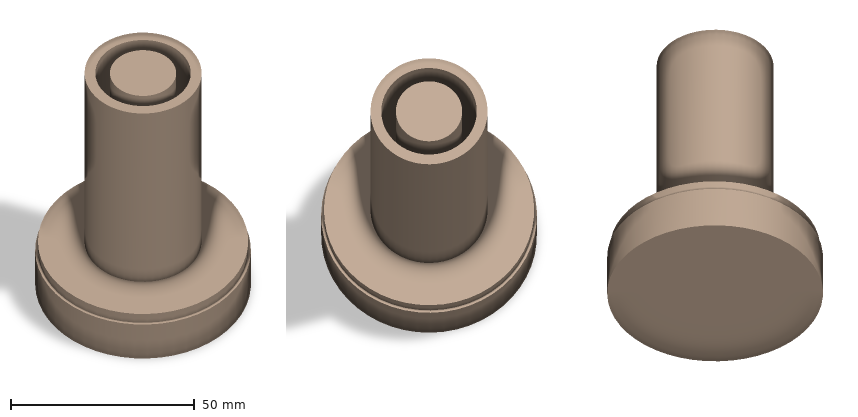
import cadquery as cq

total_height = 79.4

base_diameter = 58.7
base_height = 12.8
step_diameter = 57.2
step_height = 3.25
flange_top = base_height + step_height

column_diameter = 31.8
bore_diameter = 26.0
pin_diameter = 18.0
column_height = total_height - flange_top
groove_depth = column_height


def make_base():
    """Wide disc with a slightly narrower step on top."""
    disc = cq.Workplane("XY").circle(base_diameter / 2).extrude(base_height)
    return disc.faces(">Z").workplane().circle(step_diameter / 2).extrude(step_height)


def make_column():
    """Plain cylinder standing on the flange."""
    return (
        cq.Workplane("XY")
        .workplane(offset=flange_top)
        .circle(column_diameter / 2)
        .extrude(column_height)
    )


def make_groove():
    """Ring-shaped gap between the column wall and the core pin."""
    return (
        cq.Workplane("XY")
        .workplane(offset=total_height - groove_depth)
        .circle(bore_diameter / 2)
        .circle(pin_diameter / 2)
        .extrude(groove_depth)
    )


result = make_base().union(make_column()).cut(make_groove())